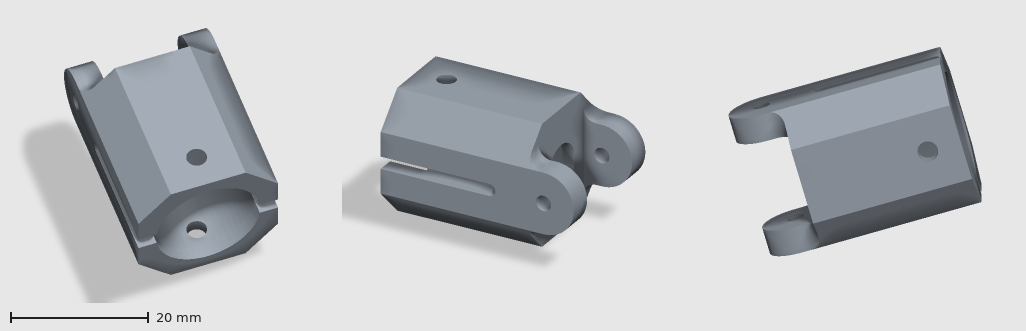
import cadquery as cq

length = 32.0
width = 21.5
height = 20.0

body_start = 8.0
body_length = length - body_start
corner_chamfer = 5.0

lug_radius = height / 4
lug_thickness = 4.0
lug_hole_diameter = 2.5
root_fillet = 2.0

entry_diameter = 8.0
front_wall = 2.0
bore_diameter = 16.0
slot_width = 2.0
slot_start = 13.0
cross_hole_diameter = 3.0
cross_hole_x = 27.0


def make_body():
    block = cq.Workplane("XY").box(body_length, width, height)
    block = block.edges("|X").chamfer(corner_chamfer)
    return block.translate((body_start + body_length / 2, 0, 0))


def lug_pair():
    """Round-ended lugs whose roots flare into the body's front face."""
    flare_x = body_start - root_fillet
    flare_z = lug_radius + root_fillet
    arc_offset = root_fillet * 0.5 ** 0.5
    arc_x = flare_x + arc_offset
    arc_z = flare_z - arc_offset
    plates = (
        cq.Workplane("XZ")
        .moveTo(lug_radius, lug_radius)
        .lineTo(flare_x, lug_radius)
        .threePointArc((arc_x, arc_z), (body_start, flare_z))
        .lineTo(body_start, -flare_z)
        .threePointArc((arc_x, -arc_z), (flare_x, -lug_radius))
        .lineTo(lug_radius, -lug_radius)
        .threePointArc((0, 0), (lug_radius, lug_radius))
        .close()
        .extrude(width / 2, both=True)
    )
    gap = cq.Workplane("XY").box(2 * length, width - 2 * lug_thickness, height)
    outline = cq.Workplane("XY").box(2 * length, width, height).edges("|X").chamfer(corner_chamfer)
    return plates.cut(gap).intersect(outline)


def lug_holes():
    return (
        cq.Workplane("XZ")
        .center(lug_radius, 0)
        .circle(lug_hole_diameter / 2)
        .extrude(width, both=True)
    )


def stepped_bore():
    """Small entry hole through the front wall, opening into a wider bore behind it."""
    entry = cq.Workplane("YZ").circle(entry_diameter / 2).extrude(length)
    main = (
        cq.Workplane("YZ", origin=(body_start + front_wall, 0, 0))
        .circle(bore_diameter / 2)
        .extrude(body_length)
    )
    return entry.union(main)


def side_slot():
    """Round-ended slot through both sides, open at the rear end."""
    center_x = slot_start + slot_width / 2
    end = cq.Workplane("XZ").center(center_x, 0).circle(slot_width / 2).extrude(width, both=True)
    straight = (
        cq.Workplane("XY")
        .box(length - center_x, 2 * width, slot_width)
        .translate(((length + center_x) / 2, 0, 0))
    )
    return end.union(straight)


def cross_hole():
    return (
        cq.Workplane("XY")
        .center(cross_hole_x, 0)
        .circle(cross_hole_diameter / 2)
        .extrude(height, both=True)
    )


result = make_body().union(lug_pair())
for cutter in (lug_holes(), stepped_bore(), side_slot(), cross_hole()):
    result = result.cut(cutter)